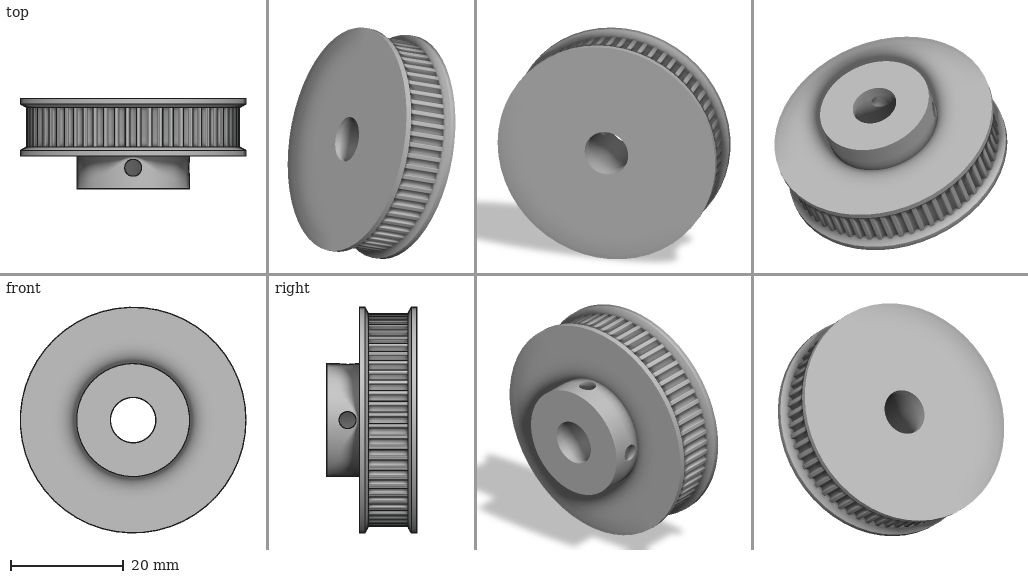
import cadquery as cq
import math

tooth_count = 60
flange_diameter = 40.0
belt_land_diameter = 37.75
hub_diameter = 20.0
bore_diameter = 8.0
overall_length = 16.0

flange_rim_width = 1.0
flange_bevel_width = 0.6
belt_width = 7.0

groove_depth = 0.75
groove_bottom_radius = 0.55
groove_lip_radius = 0.15

set_screw_diameter = 3.0
set_screw_from_hub_end = 3.7

belt_land_radius = belt_land_diameter / 2
flange_radius = flange_diameter / 2
flange_width = flange_rim_width + flange_bevel_width
toothed_length = belt_width + 2 * flange_width
hub_length = overall_length - toothed_length


def revolved_about_y(profile_points):
    """Revolve a closed (radius, y) profile around the Y axis."""
    profile = cq.Workplane("XY").polyline(profile_points).close()
    return profile.revolve(360, (0, 0, 0), (0, 1, 0))


def cylinder_along_y(diameter, y_start, length):
    """Cylinder on the Y axis from y_start to y_start + length."""
    plane = cq.Workplane("XZ", origin=(0, y_start, 0))
    return plane.circle(diameter / 2).extrude(-length)


def make_flange(outer_face_y, inward):
    """Flange whose bevelled side faces the belt; inward is +1 or -1 along Y."""
    rim_y = outer_face_y + inward * flange_rim_width
    bevel_end_y = outer_face_y + inward * flange_width
    return revolved_about_y([
        (0, outer_face_y),
        (flange_radius, outer_face_y),
        (flange_radius, rim_y),
        (belt_land_radius, bevel_end_y),
        (0, bevel_end_y),
    ])


def make_groove_cutter():
    """Round-bottomed tooth groove with rounded lips, at the top (+Z) of the belt land."""
    wall_x = groove_bottom_radius
    lip_x = groove_bottom_radius + groove_lip_radius
    lip_z = math.sqrt(belt_land_radius**2 - lip_x**2)
    wall_top_z = lip_z - groove_lip_radius
    bottom_z = belt_land_radius - groove_depth
    wall_bottom_z = bottom_z + groove_bottom_radius
    lip_mid_offset = groove_lip_radius * math.sqrt(0.5)
    lip_mid_x = lip_x - lip_mid_offset
    lip_mid_z = wall_top_z + lip_mid_offset
    return (
        cq.Workplane("XZ", origin=(0, flange_width, 0))
        .moveTo(-lip_x, lip_z)
        .threePointArc((-lip_mid_x, lip_mid_z), (-wall_x, wall_top_z))
        .lineTo(-wall_x, wall_bottom_z)
        .threePointArc((0, bottom_z), (wall_x, wall_bottom_z))
        .lineTo(wall_x, wall_top_z)
        .threePointArc((lip_mid_x, lip_mid_z), (lip_x, lip_z))
        .lineTo(lip_x, flange_radius)
        .lineTo(-lip_x, flange_radius)
        .close()
        .extrude(-belt_width)
    )


def make_toothed_ring():
    """Belt land with a groove cut at every tooth pitch."""
    land = cylinder_along_y(belt_land_diameter, flange_width, belt_width)
    groove = make_groove_cutter().val()
    pitch_angle = 360 / tooth_count
    grooves = [groove.rotate((0, 0, 0), (0, 1, 0), index * pitch_angle) for index in range(tooth_count)]
    return land.cut(cq.Workplane(cq.Compound.makeCompound(grooves)))


def cut_set_screw_holes(body):
    """Drill two holes, from +Z and from +X, through the hub wall into the bore."""
    screw_y = set_screw_from_hub_end - hub_length
    for direction in ("XY", "YZ"):
        hole = (
            cq.Workplane(direction, origin=(0, screw_y, 0))
            .circle(set_screw_diameter / 2)
            .extrude(hub_diameter / 2)
        )
        body = body.cut(hole)
    return body


pulley = (
    make_toothed_ring()
    .union(make_flange(0, 1))
    .union(make_flange(toothed_length, -1))
    .union(cylinder_along_y(hub_diameter, -hub_length, hub_length))
    .cut(cylinder_along_y(bore_diameter, -hub_length, overall_length))
)
result = cut_set_screw_holes(pulley)